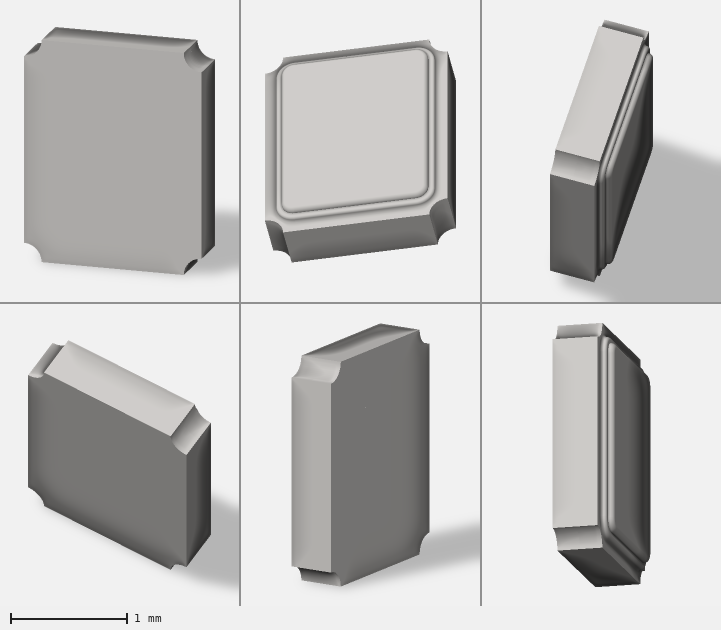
import cadquery as cq

WIDTH = 1.6
HEIGHT = 2.0
HOUSING_DEPTH = 0.4
CASTELLATION_RADIUS = 0.16

PAD_WIDTH = 0.5
PAD_HEIGHT = 0.6
PAD_GAP_X = 0.45
PAD_GAP_Z = 0.65
INDEX_CHAMFER = 0.2
TERMINAL_DEPTH = HOUSING_DEPTH / 2
PAD_INSET = (WIDTH - PAD_GAP_X) / 2 - PAD_WIDTH
BAND_RADIUS = CASTELLATION_RADIUS + PAD_INSET

LID_DEPTH = 0.1
CROWN_DEPTH = LID_DEPTH / 2
BRIM_DEPTH = CROWN_DEPTH / 2
SEAL_DEPTH = CROWN_DEPTH - BRIM_DEPTH
BRIM_CORNER_RADIUS = 0.162
CROWN_CORNER_RADIUS = 0.108
CROWN_EDGE_RADIUS = 0.045
CORNER_CENTRE_INSET = 0.268

SEAL_START = HOUSING_DEPTH
BRIM_START = SEAL_START + SEAL_DEPTH
CROWN_START = BRIM_START + BRIM_DEPTH

EDGE_MARGIN = 0.01

CORNER_SIDES = [(-1, 1), (1, 1), (-1, -1), (1, -1)]
INDEX_SIDES = (-1, 1)


def workplane_at(y):
    """XZ plane at depth y, whose normal points toward +Y; its local axes are X and -Z."""
    return cq.Workplane(cq.Plane(origin=(0, y, 0), xDir=(1, 0, 0), normal=(0, 1, 0)))


def corner_cylinder(side_x, side_z, radius, depth):
    """Cylinder along Y, centred on one corner of the package outline."""
    return (
        workplane_at(0)
        .center(side_x * WIDTH / 2, -side_z * HEIGHT / 2)
        .circle(radius)
        .extrude(depth)
    )


def block(depth):
    """Package outline with a quarter-round castellation at each corner."""
    body = workplane_at(0).rect(WIDTH, HEIGHT).extrude(depth)
    for side_x, side_z in CORNER_SIDES:
        body = body.cut(corner_cylinder(side_x, side_z, CASTELLATION_RADIUS, depth))
    return body


def make_terminal(side_x, side_z):
    """One corner's pad and castellation band, flush with the outside of the housing."""
    pad_x = side_x * (PAD_GAP_X + PAD_WIDTH) / 2
    pad_z = side_z * (PAD_GAP_Z + PAD_HEIGHT) / 2
    pad = (
        workplane_at(0)
        .center(pad_x, -pad_z)
        .rect(PAD_WIDTH, PAD_HEIGHT)
        .extrude(TERMINAL_DEPTH)
    )
    if (side_x, side_z) == INDEX_SIDES:
        pad = pad.edges("|Y").edges(">X and <Z").chamfer(INDEX_CHAMFER)
    band = corner_cylinder(side_x, side_z, BAND_RADIUS, TERMINAL_DEPTH)
    return pad.union(band).intersect(block(TERMINAL_DEPTH))


def lid_plate(start, depth, corner_radius):
    """Rounded rectangular plate whose corner arcs share their centres with the other lid layers."""
    side_inset = CORNER_CENTRE_INSET - corner_radius
    return (
        workplane_at(start)
        .rect(WIDTH - 2 * side_inset, HEIGHT - 2 * side_inset)
        .extrude(depth)
        .edges("|Y")
        .fillet(corner_radius)
    )


def between(body, start, end):
    """The part of a body that lies between two depths."""
    return body.intersect(workplane_at(start).rect(WIDTH, HEIGHT).extrude(end - start))


def make_seal():
    """Layer that flares out in a concave quarter round where it meets the housing."""
    floor = workplane_at(0).rect(WIDTH, HEIGHT).extrude(SEAL_START)
    wall = lid_plate(SEAL_START, LID_DEPTH, BRIM_CORNER_RADIUS)
    foot_edges = cq.selectors.BoxSelector(
        (-WIDTH / 2 + EDGE_MARGIN, SEAL_START - EDGE_MARGIN, -HEIGHT / 2 + EDGE_MARGIN),
        (WIDTH / 2 - EDGE_MARGIN, SEAL_START + EDGE_MARGIN, HEIGHT / 2 - EDGE_MARGIN),
        boundingbox=True,
    )
    flared = floor.union(wall).edges(foot_edges).fillet(SEAL_DEPTH)
    return between(flared, SEAL_START, BRIM_START)


def rounded_layer(start, depth, corner_radius, edge_radius):
    """Layer whose outer edge curves over in a convex quarter round."""
    plate = lid_plate(start - depth, 2 * depth, corner_radius)
    rounded = plate.faces(">Y").edges().fillet(edge_radius)
    return between(rounded, start, start + depth)


terminals = [make_terminal(side_x, side_z) for side_x, side_z in CORNER_SIDES]

housing = block(HOUSING_DEPTH)
for terminal in terminals:
    housing = housing.cut(terminal)

seal = make_seal()
brim = rounded_layer(BRIM_START, BRIM_DEPTH, BRIM_CORNER_RADIUS, BRIM_DEPTH)
crown = rounded_layer(CROWN_START, CROWN_DEPTH, CROWN_CORNER_RADIUS, CROWN_EDGE_RADIUS)

result = cq.Compound.makeCompound(
    [
        housing.val(),
        *[terminal.val() for terminal in terminals],
        seal.val(),
        brim.val(),
        crown.val(),
    ]
)